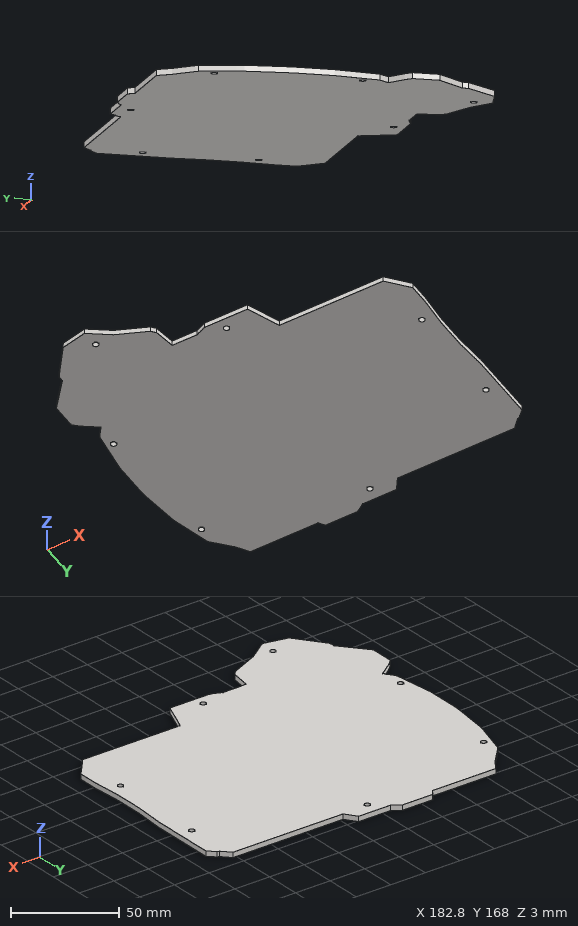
import cadquery as cq

LENGTH = 182.8
WIDTH = 168.0
THICKNESS = 3.0
HOLE_DIAMETER = 3.0

UPPER_EDGE_Y = 165.0
RIGHT_TOP_Y = 158.7
RIGHT_BOTTOM_Y = 42.8
LOWER_EDGE_Y = 25.8
LOWER_RECESS_Y = 28.2

CORNER_CUT_X = 173.5
CORNER_TOP_Y = 150.1
CORNER_BOTTOM_Y = 53.8
HOLLOW_DEPTH = 1.3
HOLLOW_CENTER_Y = 89.2
HOLLOW_HALF_LENGTH = 24.5

LEFT_FACETS = [
    (7.0, 62.9),
    (4.5, 81.2),
    (4.0, 85.4),
    (4.0, 104.5),
    (4.4, 108.8),
    (6.8, 127.8),
    (7.7, 131.3),
    (12.6, 148.5),
]

LOBE = [
    (67.8, LOWER_RECESS_Y),
    (66.2, 17.2),
    (64.2, 14.8),
    (48.5, 7.9),
    (37.5, 0),
    (24.1, 3.0),
    (12.0, 18.8),
    (12.0, 21.8),
    (0, 36.0),
    (0, 49.0),
    (3.1, 52.0),
    (11.0, 57.6),
]

UPPER_SIDE = [
    (13.3, 149.4),
    (21.8, 158.5),
    (26.0, UPPER_EDGE_Y),
    (62.7, UPPER_EDGE_Y),
    (65.0, WIDTH),
    (82.5, WIDTH),
    (87.0, UPPER_EDGE_Y),
    (105.5, UPPER_EDGE_Y),
    (109.9, RIGHT_TOP_Y),
    (CORNER_CUT_X, RIGHT_TOP_Y),
    (178.0, 154.1),
    (179.0, 153.8),
    (LENGTH, CORNER_TOP_Y),
]

LOWER_SIDE = [
    (LENGTH, CORNER_BOTTOM_Y),
    (CORNER_CUT_X, RIGHT_BOTTOM_Y),
    (117.0, RIGHT_BOTTOM_Y),
    (110.3, LOWER_EDGE_Y),
    (86.9, LOWER_EDGE_Y),
    (81.4, LOWER_RECESS_Y),
]

HOLE_CENTERS = [
    (14.6, 140.2),
    (10.0, 70.2),
    (38.0, 9.1),
    (95.3, 158.0),
    (95.3, 31.6),
    (175.7, 129.8),
    (175.2, 74.2),
]


def plate():
    """Flat plate bounded by straight runs and the hollow right end."""
    hollow_top = (LENGTH, HOLLOW_CENTER_Y + HOLLOW_HALF_LENGTH)
    hollow_middle = (LENGTH - HOLLOW_DEPTH, HOLLOW_CENTER_Y)
    hollow_bottom = (LENGTH, HOLLOW_CENTER_Y - HOLLOW_HALF_LENGTH)
    return (
        cq.Workplane("XY")
        .polyline(LOBE + LEFT_FACETS + UPPER_SIDE + [hollow_top])
        .threePointArc(hollow_middle, hollow_bottom)
        .polyline(LOWER_SIDE, includeCurrent=True)
        .close()
        .extrude(THICKNESS)
    )


def mounting_holes():
    """Cylinders that pass through the full thickness of the plate."""
    return (
        cq.Workplane("XY")
        .pushPoints(HOLE_CENTERS)
        .circle(HOLE_DIAMETER / 2)
        .extrude(THICKNESS)
    )


result = plate().cut(mounting_holes())